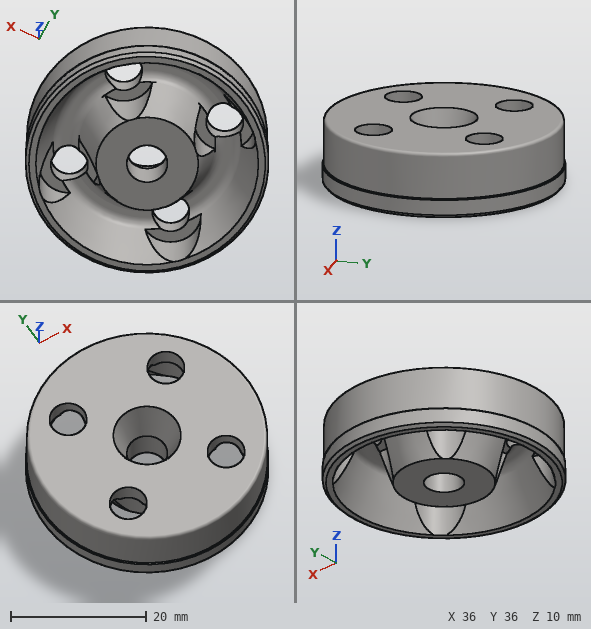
import cadquery as cq
import math

height = 10.0
flange_radius = 18.0
flange_height = 3.0
body_radius = 17.82
top_fillet = 0.5
bottom_chamfer = 0.5

bore_radius = 3.0
sink_radius = 5.0
sink_depth = 5.2

hole_pitch = 17.0
hole_radius = 2.75
counterbore_radius = 4.5
counterbore_depth = 7.0

groove_depth = 8.0
groove_center_radius = hole_pitch / math.sqrt(2)
groove_half_width = 4.45
groove_wall_angle = math.radians(20.0)
groove_fillet = 1.5


def make_body():
    """Round body: chamfered bottom edge, sloped step above the flange, rounded top edge."""
    step = flange_radius - body_radius
    fillet_mid = top_fillet * math.sin(math.radians(45))
    profile = (
        cq.Workplane("XZ")
        .moveTo(0, 0)
        .lineTo(flange_radius - bottom_chamfer, 0)
        .lineTo(flange_radius, bottom_chamfer)
        .lineTo(flange_radius, flange_height - step)
        .lineTo(body_radius, flange_height)
        .lineTo(body_radius, height - top_fillet)
        .threePointArc(
            (body_radius - top_fillet + fillet_mid, height - top_fillet + fillet_mid),
            (body_radius - top_fillet, height),
        )
        .lineTo(0, height)
        .close()
    )
    return profile.revolve(360, (0, 0), (0, 1))


def make_central_bore():
    """Through bore with a long conical countersink opening at the top."""
    profile = (
        cq.Workplane("XZ")
        .moveTo(0, 0)
        .lineTo(bore_radius, 0)
        .lineTo(bore_radius, height - sink_depth)
        .lineTo(sink_radius, height)
        .lineTo(0, height)
        .close()
    )
    return profile.revolve(360, (0, 0), (0, 1))


def make_screw_holes():
    """Four through holes on a square, counterbored from the underside."""
    pattern = cq.Workplane("XY").rect(hole_pitch, hole_pitch, forConstruction=True).vertices()
    through = pattern.circle(hole_radius).extrude(height)
    counterbores = pattern.circle(counterbore_radius).extrude(counterbore_depth)
    return through.union(counterbores)


def make_ring_groove():
    """Annular groove, narrowing upward, with rounded corners at its deep end."""
    deep_half_width = groove_half_width - groove_depth * math.tan(groove_wall_angle)
    profile = (
        cq.Workplane("XZ")
        .moveTo(groove_center_radius - groove_half_width, 0)
        .lineTo(groove_center_radius + groove_half_width, 0)
        .lineTo(groove_center_radius + deep_half_width, groove_depth)
        .lineTo(groove_center_radius - deep_half_width, groove_depth)
        .close()
    )
    ring = profile.revolve(360, (0, 0), (0, 1))
    return ring.faces(">Z").edges().fillet(groove_fillet)


result = make_body().cut(make_central_bore()).cut(make_screw_holes()).cut(make_ring_groove())